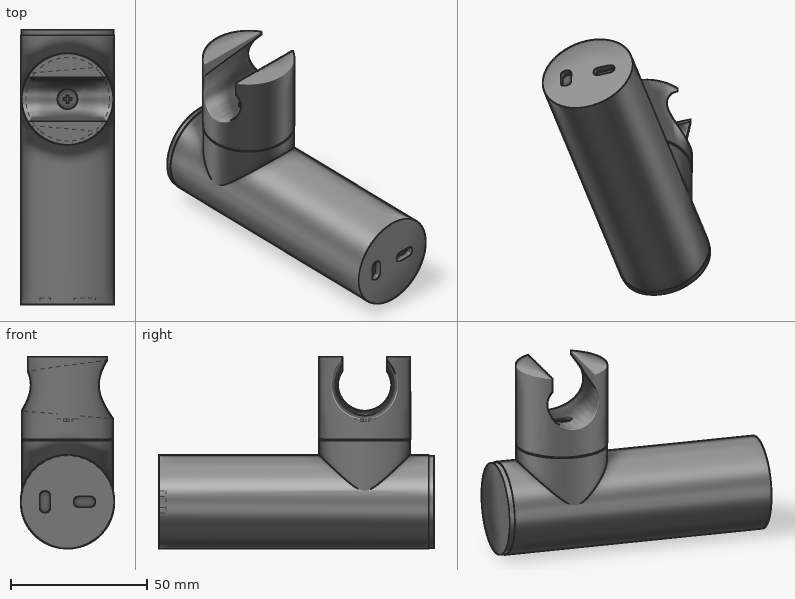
import cadquery as cq


tube_diameter = 34.5
tube_front_y = -75.5
tube_back_y = 23.5
end_cap_diameter = 34.0
end_cap_length = 2.0

slot_length = 8.0
slot_width = 4.0
slot_depth = 2.5
upright_slot_x = -8.25
level_slot_x = 6.25

neck_diameter = 33.5
neck_top_z = 22.5

holder_diameter = 33.75
shadow_gap = 0.5
shadow_gap_depth = 1.5
holder_bottom_z = neck_top_z + shadow_gap
holder_top_z = 53.3
edge_radius = 0.25

bore_axis_z = 42.9
bore_radius_left = 9.4
bore_radius_right = 12.4
mouth_width = 16.2

recess_diameter = 7.4
recess_floor_z = 30.5
cross_length = 3.0
cross_width = 1.0
cross_depth = 1.0


def make_tube_body():
    tube = (
        cq.Workplane("XZ", origin=(0, tube_back_y, 0))
        .circle(tube_diameter / 2)
        .extrude(tube_back_y - tube_front_y)
    )
    end_cap = (
        cq.Workplane("XZ", origin=(0, tube_back_y + end_cap_length, 0))
        .circle(end_cap_diameter / 2)
        .extrude(end_cap_length)
    )
    neck = cq.Workplane("XY").circle(neck_diameter / 2).extrude(neck_top_z)
    front_face = cq.Workplane("XZ", origin=(0, tube_front_y, 0))
    upright_slot = (
        front_face.center(upright_slot_x, 0)
        .slot2D(slot_length, slot_width, angle=90)
        .extrude(-slot_depth)
    )
    level_slot = (
        front_face.center(level_slot_x, 0)
        .slot2D(slot_length, slot_width)
        .extrude(-slot_depth)
    )
    return tube.union(end_cap).union(neck).cut(upright_slot).cut(level_slot)


def make_bore():
    """Cone along X that spans the holder diameter."""
    holder_radius = holder_diameter / 2
    return (
        cq.Workplane("YZ", origin=(-holder_radius, 0, bore_axis_z))
        .circle(bore_radius_left)
        .workplane(offset=holder_diameter)
        .circle(bore_radius_right)
        .loft(ruled=True)
    )


def make_mouth():
    """Parallel slot from the bore axis up through the holder top."""
    return (
        cq.Workplane("XY", origin=(0, 0, bore_axis_z))
        .rect(holder_diameter, mouth_width)
        .extrude(holder_top_z - bore_axis_z)
    )


def make_screw_recess():
    return (
        cq.Workplane("XY", origin=(0, 0, recess_floor_z))
        .circle(recess_diameter / 2)
        .extrude(bore_axis_z - recess_floor_z)
    )


def make_cross_socket():
    socket_floor = cq.Workplane("XY", origin=(0, 0, recess_floor_z - cross_depth))
    arm_along_x = socket_floor.rect(cross_length, cross_width).extrude(cross_depth)
    arm_along_y = socket_floor.rect(cross_width, cross_length).extrude(cross_depth)
    return arm_along_x.union(arm_along_y)


def round_cradle_edges(cradle):
    """Round the top rims and the ends of the bore and mouth.

    The bottom rim, the barrel seam and the lines where bore meets mouth (hyperbolas) stay sharp.
    """
    rims = [
        edge
        for edge in cradle.edges().vals()
        if edge.geomType() != "HYPERBOLA" and edge.BoundingBox().zmin > holder_bottom_z + edge_radius
    ]
    return cradle.newObject(rims).fillet(edge_radius)


def round_recess_lip(cradle):
    """Round the edge where the screw recess breaks into the bore."""
    lip = cradle.edges(
        cq.selectors.BoxSelector(
            (-recess_diameter, -recess_diameter, recess_floor_z + edge_radius),
            (recess_diameter, recess_diameter, bore_axis_z),
            boundingbox=True,
        )
    )
    return lip.fillet(edge_radius)


def make_holder():
    barrel = (
        cq.Workplane("XY", origin=(0, 0, holder_bottom_z))
        .circle(holder_diameter / 2)
        .extrude(holder_top_z - holder_bottom_z)
    )
    cradle = round_cradle_edges(barrel.cut(make_bore()).cut(make_mouth()))
    cradle = round_recess_lip(cradle.cut(make_screw_recess())).cut(make_cross_socket())
    foot = (
        cq.Workplane("XY", origin=(0, 0, neck_top_z))
        .circle(holder_diameter / 2 - shadow_gap_depth)
        .extrude(shadow_gap)
    )
    return cradle.union(foot)


tube_body = make_tube_body()
holder = make_holder()

result = cq.Compound.makeCompound([tube_body.val(), holder.val()])